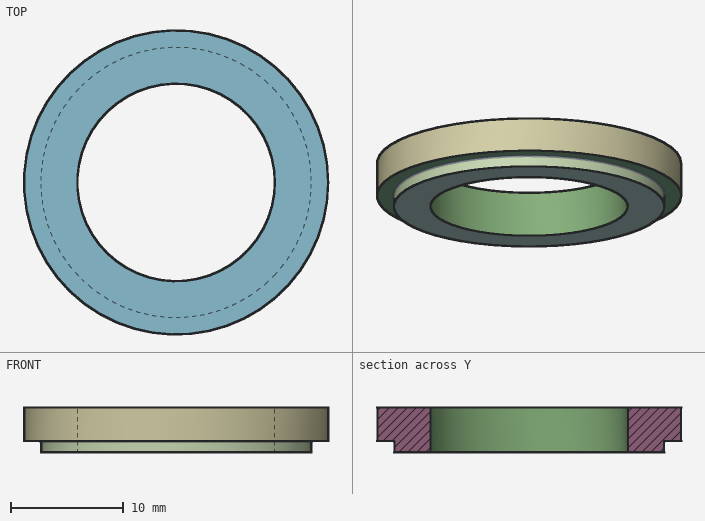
import cadquery as cq

flange_diameter = 27.0
spigot_diameter = 24.0
bore_diameter = 17.5
total_height = 4.0
spigot_height = 1.0
root_fillet_radius = 0.1

flange_radius = flange_diameter / 2
spigot_radius = spigot_diameter / 2
bore_radius = bore_diameter / 2


def ring_section():
    """Half section in the XZ plane: spigot below, wider flange above, filleted corner between."""
    return (
        cq.Workplane("XZ")
        .moveTo(bore_radius, 0)
        .lineTo(spigot_radius, 0)
        .lineTo(spigot_radius, spigot_height - root_fillet_radius)
        .tangentArcPoint((spigot_radius + root_fillet_radius, spigot_height), relative=False)
        .lineTo(flange_radius, spigot_height)
        .lineTo(flange_radius, total_height)
        .lineTo(bore_radius, total_height)
        .close()
    )


result = ring_section().revolve(360, (0, 0, 0), (0, 1, 0))